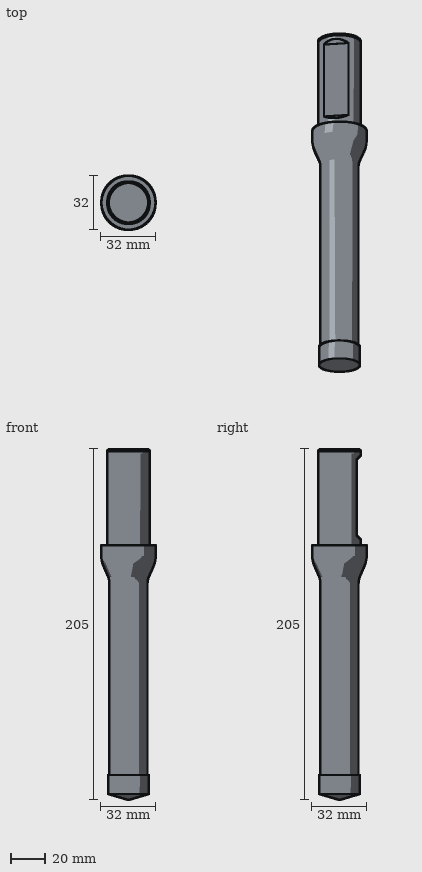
import cadquery as cq
import math

total_length = 205.0
shank_length = 56.0
tip_z = shank_length - total_length

shank_radius = 24.99 / 2
groove_bottom_offset = 2.5
land_bottom_offset = 1.4
groove_depth = 0.25
end_chamfer_width = 1.0
end_chamfer_height = 0.8

flat_depth = 2.3
flat_top_offset = 3.6
flat_top = shank_length - flat_top_offset
flat_bottom = 3.3

collar_radius = 32.0 / 2
collar_edge_chamfer = 0.3
collar_rim_bottom = -6.55
sweep_middle_radius = 15.4
sweep_middle_z = -10.4
sweep_angle = math.radians(24)
sweep_bottom = -18.85

body_radius = 22.5 / 2
neck_bottom = -22.0
neck_angle = math.radians(20)
neck_round_radius = (sweep_bottom - neck_bottom) / math.sin(neck_angle)

crown_radius = 23.9 / 2
crown_rim_length = 11.2
point_height = 3.55
crown_rim_bottom = tip_z + point_height
crown_top = crown_rim_bottom + crown_rim_length


def make_holder():
    """Shank, collar and body turned as one piece, with the clamping flat milled off."""
    def neck_point(angle):
        return (
            body_radius + neck_round_radius * (1 - math.cos(angle)),
            neck_bottom + neck_round_radius * math.sin(angle),
        )

    neck_middle = neck_point(neck_angle / 2)
    neck_top = neck_point(neck_angle)
    sweep_middle = (sweep_middle_radius, sweep_middle_z)
    sweep_top = (collar_radius, collar_rim_bottom)
    sweep_tangents = [(math.sin(sweep_angle), math.cos(sweep_angle)), (0, 1)]
    groove_radius = shank_radius - groove_depth
    turned = (
        cq.Workplane("XZ")
        .moveTo(0, crown_top)
        .lineTo(body_radius, crown_top)
        .lineTo(body_radius, neck_bottom)
        .threePointArc(neck_middle, neck_top)
        .spline([sweep_middle, sweep_top], tangents=sweep_tangents, includeCurrent=True)
        .lineTo(collar_radius, -collar_edge_chamfer)
        .lineTo(collar_radius - collar_edge_chamfer, 0)
        .lineTo(shank_radius, 0)
        .lineTo(shank_radius, shank_length - groove_bottom_offset)
        .lineTo(groove_radius, shank_length - land_bottom_offset)
        .lineTo(shank_radius, shank_length - land_bottom_offset)
        .lineTo(shank_radius, shank_length - end_chamfer_height)
        .lineTo(shank_radius - end_chamfer_width, shank_length)
        .lineTo(0, shank_length)
        .close()
        .revolve(360, (0, 0, 0), (0, 1, 0))
    )
    flat_y = shank_radius - flat_depth
    flat_cut = (
        cq.Workplane("YZ")
        .moveTo(shank_radius, flat_bottom)
        .lineTo(flat_y, flat_bottom + flat_depth)
        .lineTo(flat_y, flat_top - flat_depth)
        .lineTo(shank_radius, flat_top)
        .close()
        .extrude(shank_radius, both=True)
    )
    return turned.cut(flat_cut)


def make_crown():
    """Drilling crown with a shallow conical point, seated on the end of the body."""
    return (
        cq.Workplane("XZ")
        .moveTo(0, crown_top)
        .lineTo(crown_radius, crown_top)
        .lineTo(crown_radius, crown_rim_bottom)
        .lineTo(0, tip_z)
        .close()
        .revolve(360, (0, 0, 0), (0, 1, 0))
    )


holder = make_holder()
crown = make_crown()
result = cq.Compound.makeCompound([holder.val(), crown.val()])